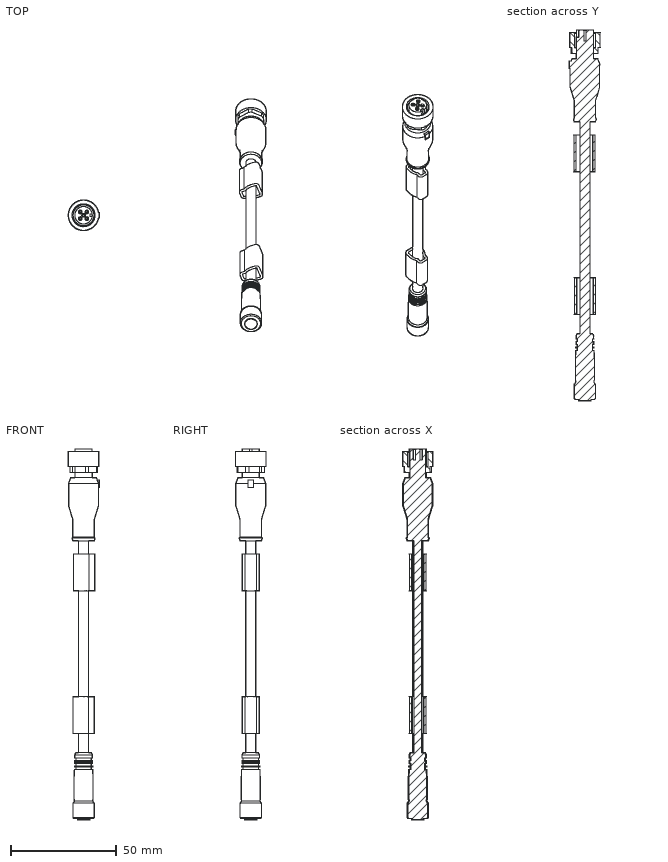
import cadquery as cq
import math


OVERALL_LENGTH = 176.4

CABLE_RADIUS = 2.5

STEM_RADIUS = 4.15
GRIP_RADIUS = 7.15
GRIP_TOP_RADIUS = 6.2
SLEEVE_RADIUS = 5.2
COLLAR_RADIUS = 5.55
COLLAR_BOTTOM_RADIUS = 5.1
LARGE_PLUG_BOTTOM_Z = 132.7
COLLAR_EDGE_Z = 133.9
COLLAR_TOP_Z = 134.5
TAPER_BOTTOM_Z = 142.9
TAPER_TOP_Z = 149.2
GRIP_SHOULDER_Z = 160.0
GRIP_TOP_Z = 162.6

MARK_REACH = 7.5
MARK_WIDTH = 2.6
MARK_BOTTOM_Z = 157.9
MARK_TOP_Z = 161.5

CONTACT_OFFSET = 1.5
CONTACT_RADIUS = 0.44
CONTACT_MOUTH_RADIUS = 0.9
CONTACT_MOUTH_ANGLE = 90.0
CONTACT_DEPTH = 5.3
KEY_SLOT_WIDTH = 1.4
KEY_SLOT_FLOOR_X = 3.0
KEY_SLOT_DEPTH = 3.5

NUT_RADIUS = 7.32
NUT_BORE_RADIUS = 5.0
NUT_BORE_CHAMFER = 0.5
NUT_TOP_Z = 175.2
NUT_RING_BOTTOM_Z = 168.0
NUT_BOTTOM_Z = 165.1
HEX_ACROSS_FLATS = 12.2
HEX_CORNER_RADIUS = 6.62
HEX_ROTATION = 15.0

SMALL_PLUG_TOP_Z = 32.0
BOOT_TOP_RADIUS = 3.7
BOOT_RADIUS = 4.2
BOOT_EDGE_Z = 30.9
LOWER_RIB_RADIUS = 4.4
GROOVE_RADIUS = 3.7
UPPER_RIB_BOTTOM_Z = 29.3
MIDDLE_RIB_TOP_Z = 28.2
MIDDLE_RIB_BOTTOM_Z = 26.6
SHALLOW_GROOVE_RADIUS = 4.0
RIB_THICKNESS = 0.5
LOWER_RIB_BOTTOM_Z = 25.0
BODY_TOP_RADIUS = 4.4
BODY_TOP_Z = 24.0
BODY_RADIUS = 4.5
BODY_TAPER_Z = 19.5
BODY_BOTTOM_Z = 10.0
NECK_RADIUS = 4.4
NECK_Z = 9.0
RING_RADIUS = 5.1
RING_TOP_RADIUS = 4.85
RING_TOP_Z = 8.0
RING_CHAMFER = 0.5
END_BOSS_RADIUS = 3.0
END_BOSS_HEIGHT = 0.5

CLIP_LENGTH = 17.6
CLIP_WALL = 1.2
CLIP_BACK_X = -5.1
CLIP_FRONT_X = 5.1
CLIP_HALF_WIDTH = 4.0
CLIP_BACK_FILLET = 1.5
CLIP_ARC_START_X = -1.85
CLIP_ARC_RADIUS = 7.2
CLIP_WAIST_X = 2.38
CLIP_FRONT_FILLET = 1.5
CLIP_PLACES = ((0.0, 41.0), (0.26, 108.8))


def cylinder(radius, bottom_z, top_z):
    return cq.Workplane("XY").workplane(offset=bottom_z).circle(radius).extrude(top_z - bottom_z)


def turned(profile):
    """Solid of revolution about Z from (radius, z) points."""
    points = [(0, profile[0][1]), *profile, (0, profile[-1][1])]
    return cq.Workplane("XZ").polyline(points).close().revolve(360, (0, 0, 0), (0, 1, 0))


def position_mark():
    """Small raised block; its inner end is buried in the grip."""
    height = MARK_TOP_Z - MARK_BOTTOM_Z
    mark = cq.Workplane("XY").box(
        MARK_REACH - SLEEVE_RADIUS, MARK_WIDTH, height, centered=(False, True, False)
    )
    return mark.translate((SLEEVE_RADIUS, 0, MARK_BOTTOM_Z))


def key_slot():
    """Slot cutter open to the +X side of the stem and to its top face."""
    slot = cq.Workplane("XY").box(
        STEM_RADIUS, KEY_SLOT_WIDTH, KEY_SLOT_DEPTH, centered=(False, True, False)
    )
    return slot.translate((KEY_SLOT_FLOOR_X, 0, OVERALL_LENGTH - KEY_SLOT_DEPTH))


def large_plug():
    plug = turned([
        (COLLAR_BOTTOM_RADIUS, LARGE_PLUG_BOTTOM_Z),
        (COLLAR_RADIUS, COLLAR_EDGE_Z),
        (SLEEVE_RADIUS, COLLAR_TOP_Z),
        (SLEEVE_RADIUS, TAPER_BOTTOM_Z),
        (GRIP_RADIUS, TAPER_TOP_Z),
        (GRIP_RADIUS, GRIP_SHOULDER_Z),
        (GRIP_TOP_RADIUS, GRIP_TOP_Z),
        (STEM_RADIUS, GRIP_TOP_Z),
        (STEM_RADIUS, OVERALL_LENGTH),
    ])
    plug = plug.union(position_mark()).cut(key_slot())

    contact_points = [(0, 0)]
    for x_side in (-1, 1):
        for y_side in (-1, 1):
            contact_points.append((x_side * CONTACT_OFFSET, y_side * CONTACT_OFFSET))
    return (
        plug.faces(">Z")
        .workplane(origin=(0, 0, OVERALL_LENGTH))
        .pushPoints(contact_points)
        .cskHole(2 * CONTACT_RADIUS, 2 * CONTACT_MOUTH_RADIUS, CONTACT_MOUTH_ANGLE, CONTACT_DEPTH)
    )


def small_plug():
    """Closing ring at the bottom, plain body, then a ribbed boot up to the cable."""
    return turned([
        (END_BOSS_RADIUS, 0),
        (END_BOSS_RADIUS, END_BOSS_HEIGHT),
        (RING_RADIUS - RING_CHAMFER, END_BOSS_HEIGHT),
        (RING_RADIUS, END_BOSS_HEIGHT + RING_CHAMFER),
        (RING_RADIUS, RING_TOP_Z),
        (RING_TOP_RADIUS, RING_TOP_Z),
        (NECK_RADIUS, NECK_Z),
        (BODY_RADIUS, BODY_BOTTOM_Z),
        (BODY_RADIUS, BODY_TAPER_Z),
        (BODY_TOP_RADIUS, BODY_TOP_Z),
        (GROOVE_RADIUS, BODY_TOP_Z),
        (GROOVE_RADIUS, LOWER_RIB_BOTTOM_Z),
        (LOWER_RIB_RADIUS, LOWER_RIB_BOTTOM_Z),
        (LOWER_RIB_RADIUS, LOWER_RIB_BOTTOM_Z + RIB_THICKNESS),
        (GROOVE_RADIUS, LOWER_RIB_BOTTOM_Z + RIB_THICKNESS),
        (GROOVE_RADIUS, MIDDLE_RIB_BOTTOM_Z),
        (BOOT_RADIUS, MIDDLE_RIB_BOTTOM_Z),
        (BOOT_RADIUS, MIDDLE_RIB_BOTTOM_Z + RIB_THICKNESS),
        (SHALLOW_GROOVE_RADIUS, MIDDLE_RIB_BOTTOM_Z + RIB_THICKNESS),
        (SHALLOW_GROOVE_RADIUS, MIDDLE_RIB_TOP_Z - RIB_THICKNESS),
        (BOOT_RADIUS, MIDDLE_RIB_TOP_Z - RIB_THICKNESS),
        (BOOT_RADIUS, MIDDLE_RIB_TOP_Z),
        (GROOVE_RADIUS, MIDDLE_RIB_TOP_Z),
        (GROOVE_RADIUS, UPPER_RIB_BOTTOM_Z),
        (BOOT_RADIUS, UPPER_RIB_BOTTOM_Z),
        (BOOT_RADIUS, BOOT_EDGE_Z),
        (BOOT_TOP_RADIUS, SMALL_PLUG_TOP_Z),
    ])


def clip(offset_x, bottom_z):
    """Closed tube: flat back, sides curving in to a waist that grips the cable, rounded front."""
    arc_angle = math.asin((CLIP_WAIST_X - CLIP_ARC_START_X) / CLIP_ARC_RADIUS)
    waist_y = CLIP_HALF_WIDTH - CLIP_ARC_RADIUS * (1 - math.cos(arc_angle))
    outer = (
        cq.Workplane("XY")
        .workplane(offset=bottom_z)
        .moveTo(CLIP_BACK_X, -CLIP_HALF_WIDTH)
        .lineTo(CLIP_ARC_START_X, -CLIP_HALF_WIDTH)
        .radiusArc((CLIP_WAIST_X, -waist_y), -CLIP_ARC_RADIUS)
        .lineTo(CLIP_FRONT_X, -waist_y)
        .lineTo(CLIP_FRONT_X, waist_y)
        .lineTo(CLIP_WAIST_X, waist_y)
        .radiusArc((CLIP_ARC_START_X, CLIP_HALF_WIDTH), -CLIP_ARC_RADIUS)
        .lineTo(CLIP_BACK_X, CLIP_HALF_WIDTH)
        .close()
        .extrude(CLIP_LENGTH)
        .edges("|Z and <X")
        .fillet(CLIP_BACK_FILLET)
        .edges("|Z and >X")
        .fillet(CLIP_FRONT_FILLET)
    )
    tube = outer.faces("<Z or >Z").shell(-CLIP_WALL)
    return tube.translate((offset_x, 0, 0))


def cord_set():
    """Cable, both plugs and the clips as one solid."""
    cord = cylinder(CABLE_RADIUS, SMALL_PLUG_TOP_Z, LARGE_PLUG_BOTTOM_Z)
    cord = cord.union(small_plug()).union(large_plug())
    for offset_x, bottom_z in CLIP_PLACES:
        cord = cord.union(clip(offset_x, bottom_z))
    return cord


def coupling_nut():
    """Ring with an open bore around the stem, on a hexagonal flange that fits the stem."""
    ring = cylinder(NUT_RADIUS, NUT_RING_BOTTOM_Z, NUT_TOP_Z)
    ring = ring.cut(cylinder(NUT_BORE_RADIUS, NUT_RING_BOTTOM_Z, NUT_TOP_Z))
    bore_rim = ring.faces(">Z").edges(cq.selectors.RadiusNthSelector(0))
    ring = bore_rim.chamfer(NUT_BORE_CHAMFER)
    hexagon = (
        cq.Workplane("XY")
        .workplane(offset=NUT_BOTTOM_Z)
        .polygon(6, HEX_ACROSS_FLATS, circumscribed=True)
        .extrude(NUT_RING_BOTTOM_Z - NUT_BOTTOM_Z)
        .rotate((0, 0, 0), (0, 0, 1), HEX_ROTATION)
    )
    flange = hexagon.intersect(cylinder(HEX_CORNER_RADIUS, NUT_BOTTOM_Z, NUT_RING_BOTTOM_Z))
    flange = flange.cut(cylinder(STEM_RADIUS, NUT_BOTTOM_Z, NUT_RING_BOTTOM_Z))
    return ring.union(flange)


cord = cord_set()
nut = coupling_nut()
result = cq.Compound.makeCompound([cord.val(), nut.val()])